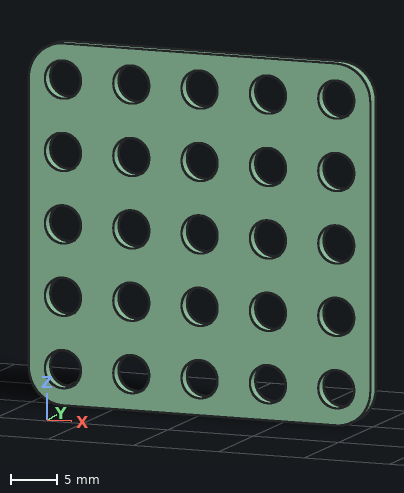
import cadquery as cq

holes_per_side = 5
hole_pitch = 8.0
hole_diameter = 4.2
thickness = 1.6

side = holes_per_side * hole_pitch
corner_radius = hole_pitch / 2

plate = (
    cq.Workplane("XY")
    .box(side, thickness, side)
    .edges("|Y")
    .fillet(corner_radius)
)

result = (
    plate.faces("<Y")
    .workplane(centerOption="CenterOfBoundBox")
    .rarray(hole_pitch, hole_pitch, holes_per_side, holes_per_side)
    .hole(hole_diameter)
)